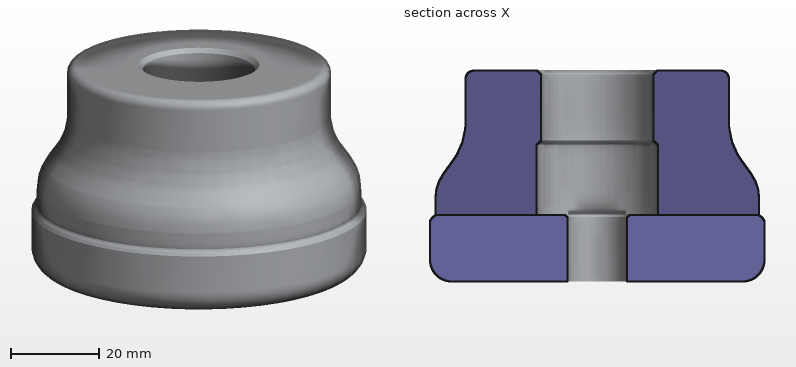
import cadquery as cq
import math

total_height = 48.0
base_radius = 38.1
base_height = 15.2

bottom_fillet = 5.0
rim_side_top = 13.8
rim_bevel_radius = 37.65
rim_bevel_height = 14.5
hole_radius = 6.7
hole_chamfer = 0.5

skirt_radius = 36.9
skirt_top = 18.9
neck_radius = 30.0
top_fillet = 2.0
shoulder_radius = 9.6
flare_radius = 14.6
slope_angle = math.radians(36.0)

bore_radius = 12.7
bore_chamfer = 1.0
cavity_radius = bore_radius + bore_chamfer
cavity_top = 31.1


def revolve_profile(profile):
    """Revolve an (r, z) profile on the XZ plane about the Z axis."""
    return profile.close().revolve(360, (0, 0, 0), (0, 1, 0))


def arc_point(center, radius, angle):
    """Point on a circle in the (r, z) half plane, angle from outward radial."""
    return (center[0] + radius * math.cos(angle), center[1] + radius * math.sin(angle))


def make_base():
    profile = (
        cq.Workplane("XZ")
        .moveTo(hole_radius, 0)
        .lineTo(base_radius - bottom_fillet, 0)
        .radiusArc((base_radius, bottom_fillet), -bottom_fillet)
        .lineTo(base_radius, rim_side_top)
        .lineTo(rim_bevel_radius, rim_bevel_height)
        .lineTo(skirt_radius, base_height)
        .lineTo(hole_radius + hole_chamfer, base_height)
        .lineTo(hole_radius, base_height - hole_chamfer)
    )
    return revolve_profile(profile)


def make_bell():
    shoulder_center = (skirt_radius - shoulder_radius, skirt_top)
    shoulder_mid = arc_point(shoulder_center, shoulder_radius, slope_angle / 2)
    shoulder_end = arc_point(shoulder_center, shoulder_radius, slope_angle)

    flare_start_radius = neck_radius + flare_radius * (1 - math.cos(slope_angle))
    cone_height = (shoulder_end[0] - flare_start_radius) / math.tan(slope_angle)
    flare_start_height = shoulder_end[1] + cone_height

    neck_bottom = flare_start_height + flare_radius * math.sin(slope_angle)
    flare_center = (neck_radius + flare_radius, neck_bottom)
    flare_mid = arc_point(flare_center, flare_radius, math.pi + slope_angle / 2)

    profile = (
        cq.Workplane("XZ")
        .moveTo(cavity_radius, base_height)
        .lineTo(skirt_radius, base_height)
        .lineTo(skirt_radius, skirt_top)
        .threePointArc(shoulder_mid, shoulder_end)
        .lineTo(flare_start_radius, flare_start_height)
        .threePointArc(flare_mid, (neck_radius, neck_bottom))
        .lineTo(neck_radius, total_height - top_fillet)
        .radiusArc((neck_radius - top_fillet, total_height), -top_fillet)
        .lineTo(bore_radius + bore_chamfer, total_height)
        .lineTo(bore_radius, total_height - bore_chamfer)
        .lineTo(bore_radius, cavity_top + bore_chamfer)
        .lineTo(cavity_radius, cavity_top)
    )
    return revolve_profile(profile)


base = make_base()
bell = make_bell()

result = cq.Compound.makeCompound([base.val(), bell.val()])